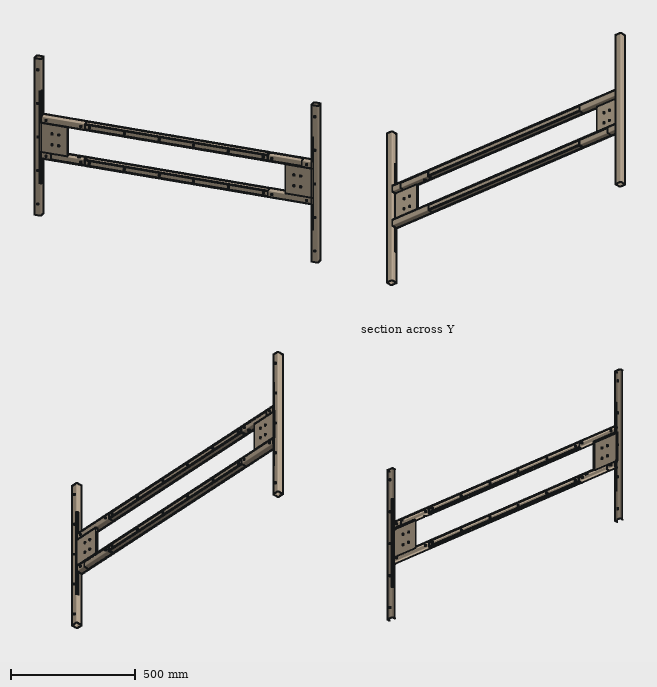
import cadquery as cq

frame_width = 1220.0
frame_height = 700.0
tube_size = 30.0
tube_wall = 2.0
tube_corner_radius = 3.0

rail_center_height = 80.0
joint_x = 392.5
joint_gap = 4.0
sleeve_end = 538.5
sleeve_wall = 2.0
sleeve_corner_radius = 3.0

plate_inner_x = 468.0
plate_thickness = 10.0
plate_front_inset = 1.0
plate_depth_in_post = 8.0
plate_slot_length = 412.0
plate_hole_x = (505.0, 534.0)
plate_hole_height = 24.0
plate_hole_diameter = 7.0

hole_pitch = 150.0
post_hole_diameter = 7.0
post_middle_hole_diameter = 5.0
rail_hole_diameter = 6.5
rail_end_hole_inset = 20.0
joint_hole_offset = 19.0

access_hole_diameter = 10.0
access_hole_offset = 30.0

front_y = -tube_size / 2
post_x = frame_width / 2 - tube_size / 2
post_inner_x = frame_width / 2 - tube_size
bore_size = tube_size - 2 * tube_wall
bore_corner_radius = tube_corner_radius - tube_wall
long_rail_end = joint_x - joint_gap / 2
short_rail_end = joint_x + joint_gap / 2
outer_hole_x = post_inner_x - rail_end_hole_inset
inner_hole_x = outer_hole_x - hole_pitch
joint_hole_x = joint_x - joint_hole_offset
plate_center_y = front_y + plate_front_inset + plate_thickness / 2


def square_bar(size, corner_radius, length):
    """Bar along Z with rounded long edges, centred on the origin."""
    return cq.Workplane("XY").box(size, size, length).edges("|Z").fillet(corner_radius)


def rail_bar(size, corner_radius, start_x, end_x, height):
    """Rounded square bar along X from start_x to end_x."""
    bar = square_bar(size, corner_radius, end_x - start_x).rotate((0, 0, 0), (0, 1, 0), 90)
    return bar.translate(((start_x + end_x) / 2, 0, height))


def rail_tube(start_x, end_x, height):
    outer = rail_bar(tube_size, tube_corner_radius, start_x, end_x, height)
    bore = rail_bar(bore_size, bore_corner_radius, start_x, end_x, height)
    return outer.cut(bore)


def front_drills(places, diameter, depth):
    """Cylinders reaching back from the front face of the frame at (x, z) places."""
    plane = cq.Workplane("XZ", origin=(0, front_y, 0))
    return plane.pushPoints(places).circle(diameter / 2).extrude(-depth)


def post():
    """Left upright, drilled in front and slotted on its inward side for the plate."""
    outer = square_bar(tube_size, tube_corner_radius, frame_height)
    bore = square_bar(bore_size, bore_corner_radius, frame_height)
    holes = front_drills([(0, n * hole_pitch) for n in (-2, -1, 1, 2)], post_hole_diameter, tube_wall)
    middle_hole = front_drills([(0, 0)], post_middle_hole_diameter, tube_wall)
    slot = cq.Workplane("XY").box(tube_size / 2, plate_thickness, plate_slot_length)
    slot = slot.translate((tube_size / 2, plate_center_y, 0))
    tube = outer.cut(bore).cut(holes).cut(middle_hole).cut(slot)
    return tube.translate((-post_x, 0, 0))


def sleeve():
    """Inner tube of the upper rail; its far end is the tongue that enters the other half."""
    height = rail_center_height
    outer = rail_bar(bore_size, sleeve_corner_radius, -joint_x, sleeve_end, height)
    inner_size = bore_size - 2 * sleeve_wall
    inner = rail_bar(inner_size, sleeve_corner_radius - sleeve_wall, -joint_x, sleeve_end, height)
    half_row = [joint_hole_x - n * hole_pitch for n in range(3)]
    hole_row = [side * x for side in (-1, 1) for x in half_row] + [inner_hole_x]
    holes = front_drills([(x, height) for x in hole_row], rail_hole_diameter, tube_wall + sleeve_wall)
    return outer.cut(inner).cut(holes)


def long_rail():
    """Upper rail from the left post to the joint on the right, with its sleeve."""
    height = rail_center_height
    hole_row = (-outer_hole_x, -inner_hole_x, joint_hole_x - hole_pitch, joint_hole_x)
    holes = front_drills([(x, height) for x in hole_row], rail_hole_diameter, tube_wall)
    return rail_tube(-post_inner_x, long_rail_end, height).cut(holes).union(sleeve())


def short_rail():
    """Lower rail stub that takes the tongue of the other half."""
    height = -rail_center_height
    hole_row = (-outer_hole_x, -inner_hole_x)
    holes = front_drills([(x, height) for x in hole_row], rail_hole_diameter, tube_wall)
    top = cq.Workplane("XY", origin=(-joint_x - access_hole_offset, 0, height + tube_size / 2))
    access_hole = top.circle(access_hole_diameter / 2).extrude(-tube_wall)
    return rail_tube(-post_inner_x, -short_rail_end, height).cut(holes).cut(access_hole)


def mounting_plate():
    """Plate that fills the space between the rails and reaches into the post."""
    plate_height = 2 * rail_center_height - tube_size
    length = post_inner_x + plate_depth_in_post - plate_inner_x
    plate = cq.Workplane("XY").box(length, plate_thickness, plate_height)
    plate = plate.translate((-plate_inner_x - length / 2, plate_center_y, 0))
    places = [(-x, z) for x in plate_hole_x for z in (-plate_hole_height, plate_hole_height)]
    return plate.cut(front_drills(places, plate_hole_diameter, tube_size))


def half_frame():
    return post().union(long_rail()).union(short_rail()).union(mounting_plate())


half_frames = [half_frame().rotate((0, 0, 0), (0, 1, 0), turn) for turn in (0, 180)]
result = cq.Compound.makeCompound([half.val() for half in half_frames])